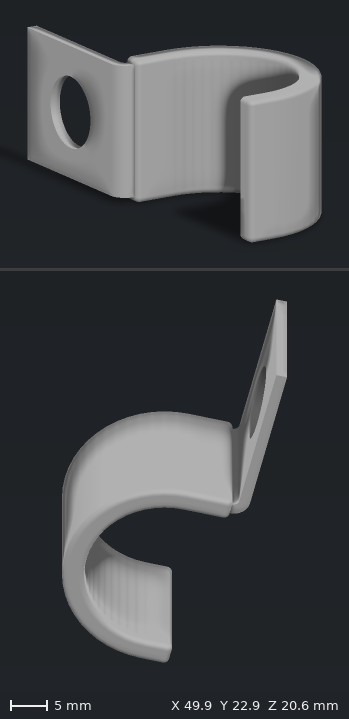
import cadquery as cq
import math


strap_thickness = 1.524
strap_width = 19.05
cushion_wall = 0.79375
pipe_radius = 11.1125
long_leg = 6.35
short_leg = 3.95
bend_inner_radius = 0.762
bend_gap = 0.08
overall_length = 49.91
hole_diameter = 10.287
hole_edge_distance = 11.1125

cushion_thickness = strap_thickness + 2 * cushion_wall
cushion_width = strap_width + 2 * cushion_wall
outer_radius = pipe_radius + cushion_thickness
strap_inner_x = -(pipe_radius + cushion_wall)
strap_outer_x = strap_inner_x - strap_thickness
bend_outer_radius = bend_inner_radius + strap_thickness
bend_center_x = strap_inner_x - bend_outer_radius
bend_center_y = -long_leg - bend_gap
tab_end_x = outer_radius - overall_length
tab_front_y = bend_center_y - bend_outer_radius
tab_back_y = bend_center_y - bend_inner_radius
hole_x = tab_end_x + hole_edge_distance


def make_cushion():
    """Hook-shaped band around the pipe, rounded along all of its edges."""
    band = (
        cq.Workplane("XY", origin=(0, 0, -cushion_width / 2))
        .moveTo(-outer_radius, -long_leg)
        .lineTo(-outer_radius, 0)
        .threePointArc((0, outer_radius), (outer_radius, 0))
        .lineTo(outer_radius, -short_leg)
        .lineTo(pipe_radius, -short_leg)
        .lineTo(pipe_radius, 0)
        .threePointArc((0, pipe_radius), (-pipe_radius, 0))
        .lineTo(-pipe_radius, -long_leg)
        .close()
        .extrude(cushion_width)
    )
    return band.faces("|Z or |Y").edges().fillet(cushion_wall)


def bend_midpoint(radius):
    """Point halfway round the quarter bend between the tab and the long leg."""
    offset = radius * math.sqrt(0.5)
    return (bend_center_x + offset, bend_center_y - offset)


def make_strap():
    """Flat mounting tab and its bend, with a stub of strap inside the long leg."""
    stub_top_y = -long_leg / 2
    return (
        cq.Workplane("XY", origin=(0, 0, -strap_width / 2))
        .moveTo(tab_end_x, tab_front_y)
        .lineTo(bend_center_x, tab_front_y)
        .threePointArc(bend_midpoint(bend_outer_radius), (strap_inner_x, bend_center_y))
        .lineTo(strap_inner_x, stub_top_y)
        .lineTo(strap_outer_x, stub_top_y)
        .lineTo(strap_outer_x, bend_center_y)
        .threePointArc(bend_midpoint(bend_inner_radius), (bend_center_x, tab_back_y))
        .lineTo(tab_end_x, tab_back_y)
        .close()
        .extrude(strap_width)
    )


def make_mounting_hole():
    """Cylinder along Y through the tab."""
    return (
        cq.Workplane("XZ", origin=(hole_x, tab_back_y, 0))
        .circle(hole_diameter / 2)
        .extrude(strap_thickness)
    )


result = make_cushion().union(make_strap()).cut(make_mounting_hole())